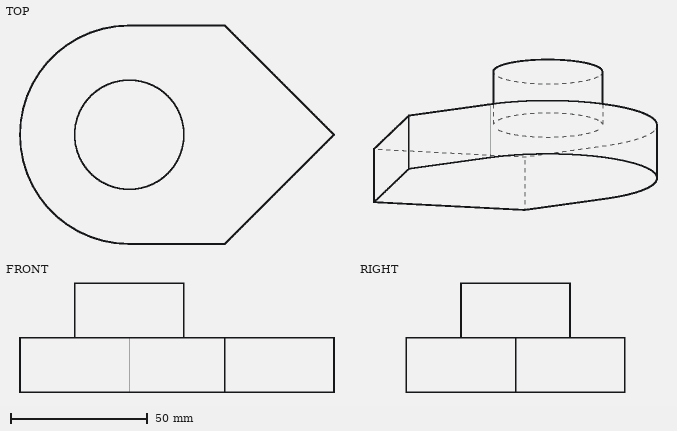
import cadquery as cq

length = 115.0
end_radius = 40.0
plate_thickness = end_radius / 2
boss_radius = end_radius / 2
boss_height = end_radius / 2

point_length = end_radius
tip_x = length - end_radius
shoulder_x = tip_x - point_length


def make_plate():
    """Plate with a round end at -X, parallel sides and a point at +X."""
    return (
        cq.Workplane("XY")
        .moveTo(0, -end_radius)
        .lineTo(shoulder_x, -end_radius)
        .lineTo(tip_x, 0)
        .lineTo(shoulder_x, end_radius)
        .lineTo(0, end_radius)
        .threePointArc((-end_radius, 0), (0, -end_radius))
        .close()
        .extrude(plate_thickness)
    )


def make_boss():
    """Round boss on top of the plate, concentric with its round end."""
    return (
        cq.Workplane("XY")
        .workplane(offset=plate_thickness)
        .circle(boss_radius)
        .extrude(boss_height)
    )


result = make_plate().union(make_boss())